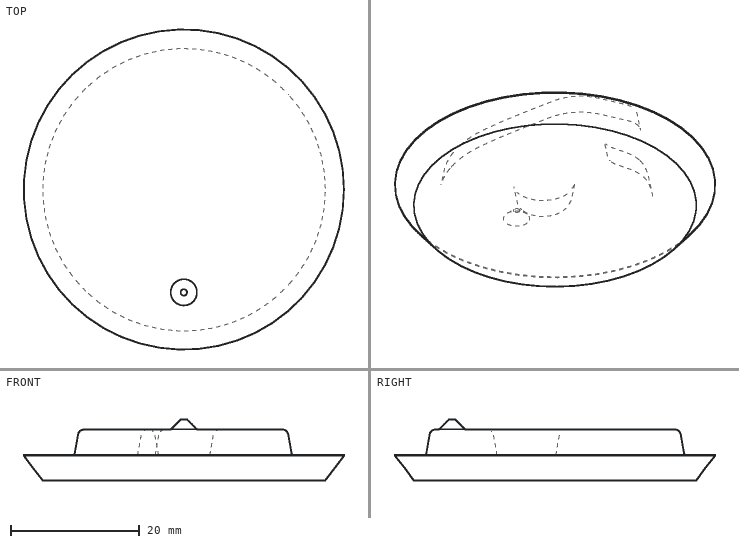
import cadquery as cq
import math

plate_radius = 24.85
plate_bottom_radius = 21.9
plate_height = 4.0
rim_height = 0.15

pad_height = 4.0
draft_angle = 10.0
top_round = 1.0
foot_round = 0.25
pad_top = plate_height + pad_height

opening_width = 7.95
opening_length = 9.15
opening_y = -4.45

marker_y = -15.95
marker_base_radius = 2.05
marker_tip_radius = 0.5
marker_height = marker_base_radius - marker_tip_radius

outline_top = 20.1
outline_corners = [
    (-2.7, 9.15, 2.6),
    (-11.65, 7.7, 6.7),
    (-18.45, -0.6, 16.15),
    (-14.95, -14.9, 13.85),
    (-6.0, -19.8, 17.7),
    (7.55, -20.55, 17.55),
    (17.3, -8.0, 15.7),
    (16.35, 1.9, 17.65),
    (12.5, 8.85, 92.35),
    (5.0, outline_top, 8.45),
    (-10.0, outline_top, 3.2),
]


def rounded_outline(plane, corners):
    """Closed outline on the plane with a tangent arc at every corner."""
    arcs = []
    for index, (x, y, radius) in enumerate(corners):
        corner = cq.Vector(x, y)
        before = cq.Vector(*corners[index - 1][:2])
        after = cq.Vector(*corners[(index + 1) % len(corners)][:2])
        to_before = (before - corner).normalized()
        to_after = (after - corner).normalized()
        half_angle = to_before.getAngle(to_after) / 2
        trim = radius / math.tan(half_angle)
        crest = radius / math.sin(half_angle) - radius
        start = corner + to_before * trim
        middle = corner + (to_before + to_after).normalized() * crest
        end = corner + to_after * trim
        arcs.append([point.toTuple()[:2] for point in (start, middle, end)])

    first_point = arcs[0][0]
    outline = plane.moveTo(*first_point)
    for index, (start, middle, end) in enumerate(arcs):
        if index > 0:
            outline = outline.lineTo(*start)
        outline = outline.threePointArc(middle, end)
    return outline.close()


def make_plate():
    """Plate whose side slopes outward up to a thin upright rim."""
    profile = [
        (0, 0),
        (plate_bottom_radius, 0),
        (plate_radius, plate_height - rim_height),
        (plate_radius, plate_height),
        (0, plate_height),
    ]
    return cq.Workplane("XZ").polyline(profile).close().revolve(360, (0, 0), (0, 1))


def make_pad():
    """Drafted pad with a drafted opening down to the plate and a rounded top."""
    foot = cq.Workplane("XY", origin=(0, 0, plate_height))
    outline = rounded_outline(foot, outline_corners)
    body = outline.extrude(pad_height, taper=draft_angle)
    opening = (
        foot.center(0, opening_y)
        .slot2D(opening_length, opening_width, 90)
        .extrude(pad_height, taper=-draft_angle)
    )
    return body.cut(opening).faces(">Z").edges().fillet(top_round)


def make_marker():
    """Truncated cone standing on the pad."""
    cone = cq.Solid.makeCone(
        marker_base_radius,
        marker_tip_radius,
        marker_height,
        pnt=cq.Vector(0, marker_y, pad_top),
    )
    return cq.Workplane(obj=cone)


def round_foot(body):
    """Small fillet where the pad walls meet the plate, inside and outside."""
    half = plate_radius - 0.5
    sliver = 0.005
    near_foot = cq.selectors.BoxSelector(
        (-half, -half, plate_height - sliver),
        (half, half, plate_height + sliver),
        boundingbox=True,
    )
    return body.edges(near_foot).fillet(foot_round)


result = round_foot(make_plate().union(make_pad())).union(make_marker())